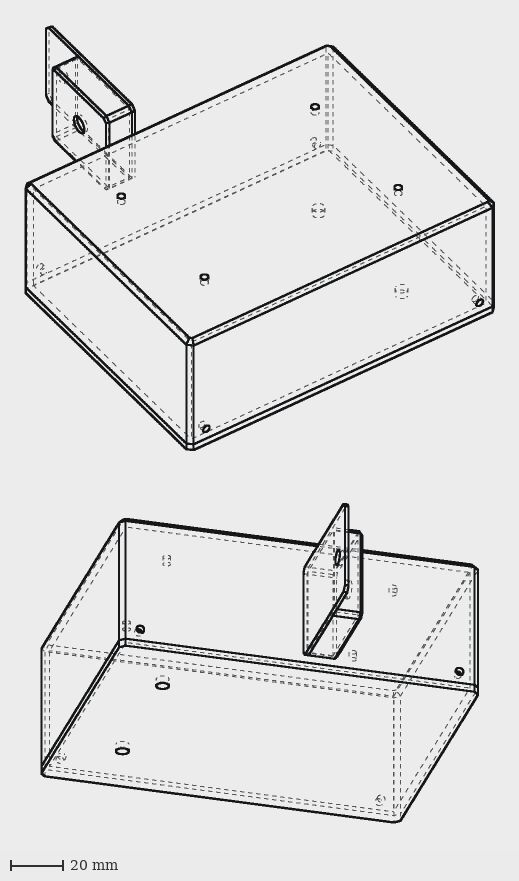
import cadquery as cq

BOX_LENGTH = 112.5
BOX_WIDTH = 143.0
BOX_HEIGHT = 56.0
BOX_CHAMFER = 2.0
WALL = 3.0
LID_THICKNESS = 3.0
SCREW_HOLE_DIAMETER = 3.0
SIDE_HOLE_SPACING = 127.0
SIDE_HOLE_HEIGHT = 8.0
TOP_HOLE_SPACING_X = 56.1
TOP_HOLE_SPACING_Y = 90.0
LID_HOLE_Y = 46.7
LID_HOLE_DIAMETER = 5.0

OVERALL_LENGTH = 215.0
CASE_SIDE = 38.0
CASE_DEPTH = 11.5
CASE_WALL = 1.5
CASE_FRONT_CHAMFER = 1.0
SENSOR_CORNER_CHAMFER = 2.0
SENSOR_BACK_Y = 11.5
PLATE_LENGTH = 58.0
PLATE_THICKNESS = 1.5
PLATE_HOLE_DIAMETER = 6.0
PLATE_HOLE_INSET = 10.0
WINDOW_DIAMETER = 7.0
WINDOW_HEIGHT = 2.4

PLATE_LEFT_X = BOX_LENGTH / 2 - OVERALL_LENGTH
PLATE_RIGHT_X = PLATE_LEFT_X + PLATE_LENGTH
CASE_CENTER_X = PLATE_RIGHT_X - CASE_SIDE / 2
CASE_BACK_Y = SENSOR_BACK_Y - PLATE_THICKNESS
CASE_FRONT_Y = CASE_BACK_Y - CASE_DEPTH


def box_block(bottom, height):
    """Full-footprint enclosure block with chamfered upright edges."""
    block = cq.Workplane("XY").workplane(offset=bottom).rect(BOX_LENGTH, BOX_WIDTH).extrude(height)
    return block.edges("|Z").chamfer(BOX_CHAMFER)


def make_housing():
    """Open-bottomed box with screw holes through the two X sides and the top."""
    height = BOX_HEIGHT - LID_THICKNESS
    body = box_block(LID_THICKNESS, height).faces(">Z").edges().chamfer(BOX_CHAMFER)
    cavity = (
        cq.Workplane("XY")
        .workplane(offset=LID_THICKNESS)
        .rect(BOX_LENGTH - 2 * WALL, BOX_WIDTH - 2 * WALL)
        .extrude(height - WALL)
    )
    side_holes = (
        cq.Workplane("YZ")
        .workplane(offset=-BOX_LENGTH / 2)
        .pushPoints([(side * SIDE_HOLE_SPACING / 2, SIDE_HOLE_HEIGHT) for side in (-1, 1)])
        .circle(SCREW_HOLE_DIAMETER / 2)
        .extrude(BOX_LENGTH)
    )
    top_holes = (
        cq.Workplane("XY")
        .workplane(offset=BOX_HEIGHT - WALL)
        .rect(TOP_HOLE_SPACING_X, TOP_HOLE_SPACING_Y, forConstruction=True)
        .vertices()
        .circle(SCREW_HOLE_DIAMETER / 2)
        .extrude(WALL)
    )
    return body.cut(cavity).cut(side_holes).cut(top_holes)


def make_lid():
    """Flat bottom lid with two access holes below the +Y pair of top holes."""
    lid_holes = (
        cq.Workplane("XY")
        .pushPoints([(side * TOP_HOLE_SPACING_X / 2, LID_HOLE_Y) for side in (-1, 1)])
        .circle(LID_HOLE_DIAMETER / 2)
        .extrude(LID_THICKNESS)
    )
    return box_block(0, LID_THICKNESS).cut(lid_holes)


def upright_block(center_x, length, height, front_y, depth):
    """Rectangular block centred on Z = 0 that runs back (+Y) from front_y."""
    return cq.Workplane("XZ", origin=(center_x, front_y, 0)).rect(length, height).extrude(-depth)


def make_sensor_case():
    """Shell open at the back, with a round window in its front wall."""
    body = upright_block(CASE_CENTER_X, CASE_SIDE, CASE_SIDE, CASE_FRONT_Y, CASE_DEPTH)
    body = body.edges("|Y").chamfer(SENSOR_CORNER_CHAMFER)
    body = body.faces("<Y").edges().chamfer(CASE_FRONT_CHAMFER)
    inner_side = CASE_SIDE - 2 * CASE_WALL
    inner_depth = CASE_DEPTH - CASE_WALL
    cavity = upright_block(CASE_CENTER_X, inner_side, inner_side, CASE_FRONT_Y + CASE_WALL, inner_depth)
    window = (
        cq.Workplane("XZ", origin=(CASE_CENTER_X, CASE_FRONT_Y, WINDOW_HEIGHT))
        .circle(WINDOW_DIAMETER / 2)
        .extrude(-CASE_WALL)
    )
    return body.cut(cavity).cut(window)


def make_mounting_plate():
    """Plate that closes the back of the case and extends past it to a mounting hole."""
    center_x = PLATE_LEFT_X + PLATE_LENGTH / 2
    plate = upright_block(center_x, PLATE_LENGTH, CASE_SIDE, CASE_BACK_Y, PLATE_THICKNESS)
    plate = plate.edges("|Y").chamfer(SENSOR_CORNER_CHAMFER)
    hole = (
        cq.Workplane("XZ", origin=(PLATE_LEFT_X + PLATE_HOLE_INSET, CASE_BACK_Y, 0))
        .circle(PLATE_HOLE_DIAMETER / 2)
        .extrude(-PLATE_THICKNESS)
    )
    return plate.cut(hole)


housing = make_housing()
lid = make_lid()
sensor_case = make_sensor_case()
mounting_plate = make_mounting_plate()

result = cq.Compound.makeCompound(
    [housing.val(), lid.val(), sensor_case.val(), mounting_plate.val()]
)